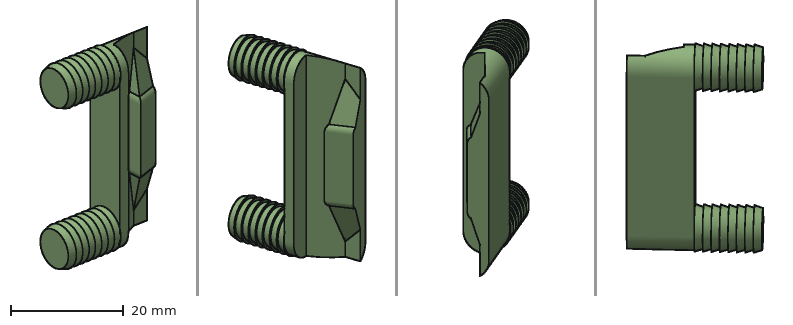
import cadquery as cq
import math

total_height = 40.5
total_depth = 24.0

barb_radius = 4.25
barb_root_radius = 3.75
barb_count = 8
stem_length = total_depth / 2
barb_pitch = stem_length / barb_count
stem_offset = total_height / 2 - barb_radius

body_radius = 4.0
body_depth = total_depth - stem_length
shelf_depth = 2.02
back_wall_x = -2.3
back_wall_start_y = 8.8

hook_front_y = 7.0
hook_tip_x = 1.7
hook_end_x = 0.0
hook_peak_z = 16.2
hook_straight_z = 6.9
hook_shoulder_z = 8.1
side_shoulder_inset = 0.65
front_shoulder_inset = 0.4


def make_stem(z):
    """Stem of stacked cones, each one narrowing toward -Y."""
    outline = cq.Workplane("XY").moveTo(0, 0)
    for i in range(barb_count):
        outline = outline.lineTo(barb_radius, -i * barb_pitch)
        outline = outline.lineTo(barb_root_radius, -(i + 1) * barb_pitch)
    outline = outline.lineTo(0, -stem_length).close()
    return outline.revolve(360, (0, 0), (0, 1)).translate((0, 0, z))


def make_body():
    """Round-ended bar, cut back to a shelf and a thinning wall on the -X side."""
    bar = (
        cq.Workplane("XZ")
        .slot2D(2 * (stem_offset + body_radius), 2 * body_radius, 90)
        .extrude(-body_depth)
    )
    recess = (
        cq.Workplane("XY")
        .moveTo(0, shelf_depth)
        .lineTo(back_wall_x, back_wall_start_y)
        .lineTo(back_wall_x, body_depth)
        .lineTo(body_radius, body_depth)
        .lineTo(body_radius, shelf_depth)
        .close()
        .extrude(total_height / 2, both=True)
    )
    return bar.cut(recess)


def tapered_wall(plane, shoulder_inset, peak_inset, length):
    """Long block whose ends round over from its outer face, then slope up to the peak.

    The plane has the outer face at local x = 0 and local y along Z.
    """
    shoulder_rise = hook_shoulder_z - hook_straight_z
    radius = (shoulder_inset**2 + shoulder_rise**2) / (2 * shoulder_inset)
    half_angle = math.asin(shoulder_rise / radius) / 2
    mid_inset = radius * (1 - math.cos(half_angle))
    mid_z = hook_straight_z + radius * math.sin(half_angle)
    slope = (hook_peak_z - hook_shoulder_z) / (peak_inset - shoulder_inset)
    far_inset = 2 * body_depth
    far_z = hook_shoulder_z + slope * (far_inset - shoulder_inset)
    return (
        cq.Workplane(plane)
        .moveTo(0, -hook_straight_z)
        .lineTo(0, hook_straight_z)
        .threePointArc((mid_inset, mid_z), (shoulder_inset, hook_shoulder_z))
        .lineTo(far_inset, far_z)
        .lineTo(far_inset, -far_z)
        .lineTo(shoulder_inset, -hook_shoulder_z)
        .threePointArc((mid_inset, -mid_z), (0, -hook_straight_z))
        .close()
        .extrude(length, both=True)
    )


def make_hook():
    """Overhanging hook along Z, with both ends sloping up to the back wall."""
    back_wall_slope = back_wall_x / (back_wall_start_y - shelf_depth)
    hook_root_x = back_wall_slope * (hook_front_y - shelf_depth)
    prism = (
        cq.Workplane("XY")
        .moveTo(hook_root_x, hook_front_y)
        .lineTo(hook_tip_x, hook_front_y)
        .lineTo(hook_end_x, body_depth)
        .lineTo(back_wall_x, body_depth)
        .lineTo(back_wall_x, back_wall_start_y)
        .close()
        .extrude(total_height / 2, both=True)
    )
    side_run_x = hook_tip_x - hook_end_x
    side_run_y = body_depth - hook_front_y
    side_length = math.hypot(side_run_x, side_run_y)
    inward = (-side_run_y / side_length, -side_run_x / side_length)
    side_peak_inset = (
        (back_wall_x - hook_tip_x) * inward[0] + (back_wall_start_y - hook_front_y) * inward[1]
    )
    side_plane = cq.Plane(
        origin=(hook_tip_x, hook_front_y, 0),
        xDir=(inward[0], inward[1], 0),
        normal=(inward[1], -inward[0], 0),
    )
    front_plane = cq.Plane(origin=(0, hook_front_y, 0), xDir=(0, 1, 0), normal=(1, 0, 0))
    front_peak_inset = back_wall_start_y - hook_front_y
    side = tapered_wall(side_plane, side_shoulder_inset, side_peak_inset, total_depth)
    front = tapered_wall(front_plane, front_shoulder_inset, front_peak_inset, total_depth)
    return prism.intersect(side).intersect(front)


result = make_body().union(make_hook())
for stem_z in (-stem_offset, stem_offset):
    result = result.union(make_stem(stem_z))